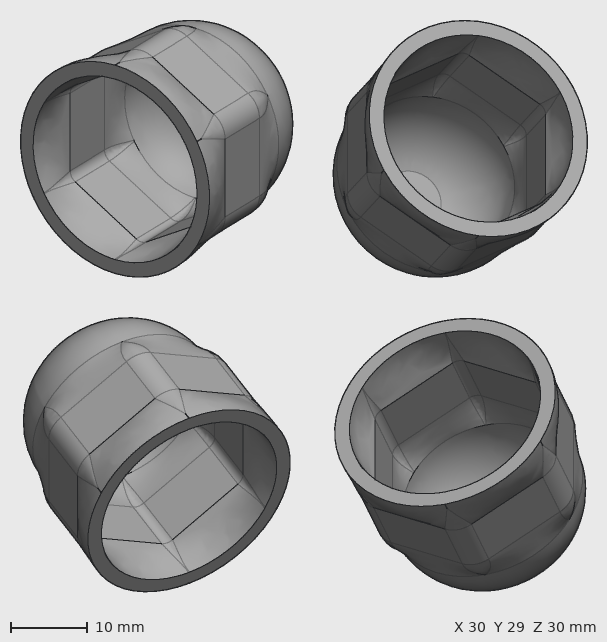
import cadquery as cq
import math

MOUTH_RADIUS = 15.0
LENGTH = 29.0
WALL = 2.0
HEX_APOTHEM = 13.3
HEX_CORNER_RADIUS = 3.6

SKIRT_END = 6.0
LENS_START = 0.9
NECK_START = 13.8
DOME_START = 18.3

DOME_ARC_RADIUS = 11.25
DOME_ARC_OFFSET = 1.98
DOME_ARC_HEIGHT = 18.0

MIN_CORNER_HALF_WIDTH = 0.1
SKIRT_STEPS = 5
NECK_STEPS = 4
SIDES = 6


def blended_section(y, round_radius, roundness, corner_share, inset):
    """Closed wire between a rounded hexagon (roundness 0) and a circle (roundness 1).

    corner_share scales the width of the rounded corners; inset moves the hexagon inward.
    """
    apothem = HEX_APOTHEM - inset
    corner_radius = HEX_CORNER_RADIUS - inset
    half_angle = math.pi / SIDES
    peak = apothem / math.cos(half_angle)
    half_width = max(corner_radius * math.sin(half_angle) * corner_share, MIN_CORNER_HALF_WIDTH)

    hex_tip = peak - corner_radius * (1 / math.cos(half_angle) - 1)
    hex_end = peak - corner_radius * math.sin(half_angle) * math.tan(half_angle)
    round_end = math.sqrt(round_radius**2 - half_width**2)

    def mix(hex_value, round_value):
        return hex_value + (round_value - hex_value) * roundness

    tip = mix(hex_tip, round_radius)
    end = mix(hex_end, round_end)
    middle = mix(apothem, round_radius)

    def point(outward, sideways, angle):
        x = outward * math.cos(angle) - sideways * math.sin(angle)
        z = outward * math.sin(angle) + sideways * math.cos(angle)
        return cq.Vector(x, y, z)

    edges = []
    for side in range(SIDES):
        angle = math.pi / 2 + 2 * half_angle * side
        next_angle = angle + 2 * half_angle
        corner_start = point(end, -half_width, angle)
        corner_end = point(end, half_width, angle)
        next_start = point(end, -half_width, next_angle)
        side_middle = point(middle, 0, angle + half_angle)
        edges.append(cq.Edge.makeThreePointArc(corner_start, point(tip, 0, angle), corner_end))
        if roundness > 0:
            edges.append(cq.Edge.makeThreePointArc(corner_end, side_middle, next_start))
        else:
            edges.append(cq.Edge.makeLine(corner_end, next_start))
    return cq.Wire.assembleEdges(edges)


def skirt(inset):
    """Flare from the round mouth to the hexagon."""
    sections = []
    for step in range(SKIRT_STEPS + 1):
        fraction = step / SKIRT_STEPS
        y = SKIRT_END * fraction
        corner_share = (y - LENS_START) / (SKIRT_END - LENS_START)
        roundness = 1 - fraction**2
        sections.append(blended_section(y, MOUTH_RADIUS - inset, roundness, corner_share, inset))
    return cq.Solid.makeLoft(sections)


def prism(inset):
    """Straight rounded hexagon."""
    sections = [blended_section(y, MOUTH_RADIUS - inset, 0, 1, inset) for y in (SKIRT_END, NECK_START)]
    return cq.Solid.makeLoft(sections, True)


def dome_radius(y, inset):
    """Distance from the axis to the dome surface at height y."""
    return DOME_ARC_OFFSET + math.sqrt((DOME_ARC_RADIUS - inset)**2 - (y - DOME_ARC_HEIGHT)**2)


def neck(inset):
    """Blend from the hexagon to the round foot of the dome."""
    sections = []
    for step in range(NECK_STEPS + 1):
        fraction = step / NECK_STEPS
        y = NECK_START + (DOME_START - NECK_START) * fraction
        roundness = fraction**2
        sections.append(blended_section(y, dome_radius(DOME_START, inset), roundness, 1 - roundness, inset))
    return cq.Solid.makeLoft(sections)


def dome(inset):
    """Domed end with a small flat at its tip."""
    top = LENGTH - inset
    middle = (DOME_START + top) / 2
    return (
        cq.Workplane("XY")
        .moveTo(0, DOME_START)
        .lineTo(dome_radius(DOME_START, inset), DOME_START)
        .threePointArc((dome_radius(middle, inset), middle), (dome_radius(top, inset), top))
        .lineTo(0, top)
        .close()
        .revolve(360, (0, 0, 0), (0, 1, 0))
    )


def body(inset):
    """Whole filled shape, moved inward by inset."""
    return dome(inset).add(neck(inset)).add(prism(inset)).add(skirt(inset)).combine()


result = body(0).cut(body(WALL))